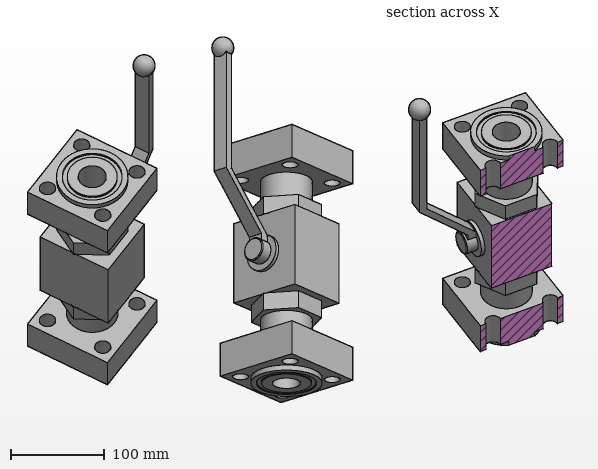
import cadquery as cq


body_width = 85.0
body_depth = 73.0
body_height = 91.0

nut_corner_diameter = 76.0
nut_height = 19.3
pipe_diameter = 55.5
pipe_length = 28.8
bore_diameter = 30.0

flange_side = 100.0
flange_height = 38.0
bolt_hole_diameter = 17.0
bolt_spacing = 69.0
face_diameter = 76.0
face_height = 6.0

groove_outer_diameter = 63.7
groove_inner_diameter = 53.0

washer_diameter = 40.0
washer_thickness = 4.5
stem_diameter = 26.0
stem_length = 14.0
stem_chamfer = 1.0

lever_width = 17.0
lever_thickness = 8.7
lever_foot_thickness = 10.2
lever_foot_top = 16.7
lever_center_y = 105.0
knob_diameter = 23.5
overall_height = 364.0

nut_bottom = body_height / 2
pipe_bottom = nut_bottom + nut_height
flange_bottom = pipe_bottom + pipe_length
flange_top = flange_bottom + flange_height
end_face = flange_top + face_height
knob_center_z = overall_height - end_face - knob_diameter / 2

seal_radius = (groove_outer_diameter - groove_inner_diameter) / 4

washer_bottom = body_depth / 2
washer_top = washer_bottom + washer_thickness


def disc(diameter, bottom, height):
    """Cylinder along the pipe axis."""
    return cq.Workplane("XY").workplane(offset=bottom).circle(diameter / 2).extrude(height)


def seal_groove():
    """Square-edged annular groove down to the middle of the seal ring."""
    floor = end_face - seal_radius
    outer = disc(groove_outer_diameter, floor, seal_radius)
    return outer.cut(disc(groove_inner_diameter, floor, seal_radius))


def seal_ring():
    """Half-round ring standing on the groove floor, its crest level with the end face."""
    ring_radius = (groove_outer_diameter + groove_inner_diameter) / 4
    return (
        cq.Workplane("XZ", origin=(0, 0, end_face - seal_radius))
        .moveTo(ring_radius - seal_radius, 0)
        .threePointArc((ring_radius, seal_radius), (ring_radius + seal_radius, 0))
        .close()
        .revolve(360, (0, 0), (0, 1))
    )


def connection():
    """Upper nut, pipe stub and flange."""
    nut = (
        cq.Workplane("XY")
        .workplane(offset=nut_bottom)
        .transformed(rotate=(0, 0, 90))
        .polygon(6, nut_corner_diameter)
        .extrude(nut_height)
    )
    flange = (
        cq.Workplane("XY")
        .workplane(offset=flange_bottom)
        .rect(flange_side, flange_side)
        .extrude(flange_height)
        .faces(">Z")
        .workplane()
        .rect(bolt_spacing, bolt_spacing, forConstruction=True)
        .vertices()
        .hole(bolt_hole_diameter)
    )
    return (
        nut.union(disc(pipe_diameter, pipe_bottom, pipe_length))
        .union(flange)
        .union(disc(face_diameter, flange_top, face_height))
        .cut(seal_groove())
        .union(seal_ring())
    )


def stem():
    """Washer and stem pointing along +Y."""
    washer = (
        cq.Workplane("XZ", origin=(0, washer_bottom, 0))
        .circle(washer_diameter / 2)
        .extrude(-washer_thickness)
    )
    pin = (
        cq.Workplane("XZ", origin=(0, washer_top, 0))
        .circle(stem_diameter / 2)
        .extrude(-stem_length)
        .faces(">Y")
        .chamfer(stem_chamfer)
    )
    return washer.union(pin)


def lever():
    """Flat bar from the stem, leaning out at 45 degrees and then rising to the knob."""
    foot_outer_y = washer_top + lever_foot_thickness
    grip_inner_y = lever_center_y - lever_thickness / 2
    grip_outer_y = lever_center_y + lever_thickness / 2
    inner_bend_z = lever_foot_top + grip_inner_y - washer_top
    outer_bend_z = lever_foot_top + grip_outer_y - foot_outer_y
    bar = (
        cq.Workplane("YZ")
        .moveTo(washer_top, 0)
        .lineTo(washer_top, lever_foot_top)
        .lineTo(grip_inner_y, inner_bend_z)
        .lineTo(grip_inner_y, knob_center_z)
        .lineTo(grip_outer_y, knob_center_z)
        .lineTo(grip_outer_y, outer_bend_z)
        .lineTo(foot_outer_y, lever_foot_top)
        .lineTo(foot_outer_y, 0)
        .close()
        .extrude(lever_width / 2, both=True)
    )
    knob = cq.Workplane("XY", origin=(0, lever_center_y, knob_center_z)).sphere(knob_diameter / 2)
    return bar.union(knob)


upper_connection = connection()
lower_connection = upper_connection.mirror("XY")

result = (
    cq.Workplane("XY")
    .box(body_width, body_depth, body_height)
    .union(upper_connection)
    .union(lower_connection)
    .cut(disc(bore_diameter, -end_face, 2 * end_face))
    .union(stem())
    .union(lever())
)